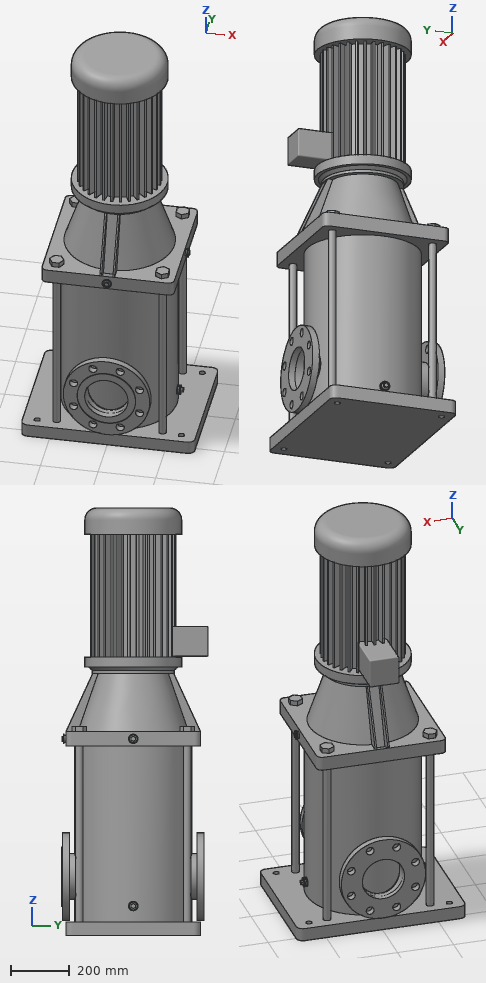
import cadquery as cq
import math


BASE_LENGTH = 600.0
PLATE_DEPTH = 459.0
BASE_THICKNESS = 47.0
BASE_CORNER = 23.0
BASE_HOLE_DIA = 20.0
BASE_HOLE_SPACING_X = 500.0
BASE_HOLE_SPACING_Y = 382.0

BARREL_DIA = 400.0
HEAD_BOTTOM = 645.0
HEAD_THICKNESS = 50.0
HEAD_TOP = HEAD_BOTTOM + HEAD_THICKNESS
HEAD_CORNER = 20.0
ROD_DIA = 26.0
ROD_SPACING = 367.0
BOLT_ACROSS_CORNERS = 50.0
BOLT_HEIGHT = 17.0
BOLT_TURN = 30

PORT_HEIGHT = 201.0
FLANGE_DIA = 300.0
FLANGE_FACE = 242.0
FLANGE_THICKNESS = 25.0
RAISED_FACE_DIA = 203.0
RAISED_FACE_HEIGHT = 3.0
NECK_DIA = 157.0
BORE_DIA = 150.0
FLANGE_HOLE_DIA = 28.0
FLANGE_HOLE_CIRCLE = 248.0
FLANGE_HOLE_COUNT = 8

CONE_BOTTOM_DIA = 380.0
CONE_TOP_DIA = 245.0
CONE_TOP = 893.0
RIB_OUTER_WIDTH = 51.0
RIB_THICKNESS = 6.0
RIB_TOP_REACH = 138.0
RECESS_DEPTH = 13.0

COLLAR_DIA = 280.0
DISC_DIA = 331.0
DISC_BOTTOM = 915.0
COLLAR_CHAMFER = 12.0
FIN_BOTTOM = 949.0
FIN_TOP = 1367.0
FIN_TIP_DIA = 290.0
FIN_ROOT_DIA = 233.0
FIN_THICKNESS = 7.0
FIN_COUNT = 30
TOTAL_HEIGHT = 1457.0
CAP_ROUND = 41.0

BOX_WIDTH = 103.0
BOX_BOTTOM = 951.0
BOX_HEIGHT = 102.0
BOX_REACH = 255.0
BOX_ROUND = 5.0

PLUG_COLLAR_DIA = 32.0
PLUG_STEM_DIA = 26.0
PLUG_COLLAR_THICKNESS = 3.0
PLUG_HEX_ACROSS_CORNERS = 17.0
VENT_PLUG_STEM = 6.0
VENT_PLUG_HEX = 5.0
NO_SEAT = 0
DRAIN_HEIGHT = 100.0
DRAIN_SEAT_HEIGHT = 3.0
DRAIN_PLUG_STEM = 6.0
DRAIN_PLUG_HEX = 9.0

OVERLAP = 7.0


def disc(diameter, bottom, top):
    return cq.Workplane("XY").workplane(offset=bottom).circle(diameter / 2).extrude(top - bottom)


def cone(bottom_diameter, bottom, top_diameter, top):
    outline = [(0, bottom), (bottom_diameter / 2, bottom), (top_diameter / 2, top), (0, top)]
    return cq.Workplane("XZ").polyline(outline).close().revolve(360, (0, 0), (0, 1))


def rounded_plate(length, bottom, thickness, corner):
    plate = cq.Workplane("XY").workplane(offset=bottom).rect(length, PLATE_DEPTH).extrude(thickness)
    return plate.edges("|Z").fillet(corner)


def base_plate():
    plate = rounded_plate(BASE_LENGTH, 0, BASE_THICKNESS, BASE_CORNER)
    return (
        plate.faces(">Z")
        .workplane()
        .rect(BASE_HOLE_SPACING_X, BASE_HOLE_SPACING_Y, forConstruction=True)
        .vertices()
        .hole(BASE_HOLE_DIA)
    )


def head_plate_with_rods():
    head = rounded_plate(PLATE_DEPTH, HEAD_BOTTOM, HEAD_THICKNESS, HEAD_CORNER)
    half = ROD_SPACING / 2
    for x in (-half, half):
        turn = BOLT_TURN if x > 0 else 0
        bolt = cq.Workplane("XY").polygon(6, BOLT_ACROSS_CORNERS).extrude(BOLT_HEIGHT)
        bolt = bolt.rotate((0, 0, 0), (0, 0, 1), turn)
        for y in (-half, half):
            head = head.union(disc(ROD_DIA, BASE_THICKNESS, HEAD_BOTTOM).translate((x, y, 0)))
            head = head.union(bolt.translate((x, y, HEAD_TOP)))
    return head.cut(rib_recesses())


def rib_recesses():
    """Wedges between the ribs that slope from the plate edges down toward the cone."""
    edge = PLATE_DEPTH / 2
    foot = CONE_BOTTOM_DIA / 2
    floor = HEAD_TOP - RECESS_DEPTH
    outline = [(-edge, HEAD_TOP), (-foot, floor), (foot, floor), (edge, HEAD_TOP)]
    half_gap = RIB_OUTER_WIDTH / 2 - RIB_THICKNESS
    return cq.Workplane("YZ").polyline(outline).close().extrude(half_gap, both=True)


def port_cylinder(diameter, start, end):
    """Cylinder on the port axis between two Y positions."""
    plane = cq.Workplane("XZ", origin=(0, start, PORT_HEIGHT))
    return plane.circle(diameter / 2).extrude(start - end)


def ports(barrel):
    """Both flanges on their necks; the bores end at the barrel wall."""
    body = port_cylinder(NECK_DIA, -FLANGE_FACE, FLANGE_FACE)
    for side in (-1, 1):
        back = side * (FLANGE_FACE - FLANGE_THICKNESS)
        body = body.union(port_cylinder(FLANGE_DIA, back, side * FLANGE_FACE))
    raised_end = -FLANGE_FACE - RAISED_FACE_HEIGHT
    body = body.union(port_cylinder(RAISED_FACE_DIA, -FLANGE_FACE, raised_end))
    body = body.cut(port_cylinder(BORE_DIA, raised_end, FLANGE_FACE))
    bolt_hole = port_cylinder(FLANGE_HOLE_DIA, -FLANGE_FACE, FLANGE_FACE)
    for i in range(FLANGE_HOLE_COUNT):
        angle = 2 * math.pi * (i + 0.5) / FLANGE_HOLE_COUNT
        dx = FLANGE_HOLE_CIRCLE / 2 * math.cos(angle)
        dz = FLANGE_HOLE_CIRCLE / 2 * math.sin(angle)
        body = body.cut(bolt_hole.translate((dx, 0, dz)))
    return body.union(barrel)


def lantern():
    """Cone between head plate and motor, with a pair of thin ribs at -Y and +Y."""
    growth = (CONE_BOTTOM_DIA - CONE_TOP_DIA) / (CONE_TOP - HEAD_TOP)
    root_dia = CONE_BOTTOM_DIA + growth * RECESS_DEPTH
    body = cone(root_dia, HEAD_TOP - RECESS_DEPTH, CONE_TOP_DIA, CONE_TOP)
    half_plate = PLATE_DEPTH / 2
    outline = [
        (-half_plate, HEAD_TOP),
        (half_plate, HEAD_TOP),
        (RIB_TOP_REACH, CONE_TOP),
        (-RIB_TOP_REACH, CONE_TOP),
    ]
    rib = cq.Workplane("YZ").polyline(outline).close().extrude(RIB_THICKNESS)
    for x in (-RIB_OUTER_WIDTH / 2, RIB_OUTER_WIDTH / 2 - RIB_THICKNESS):
        body = body.union(rib.translate((x, 0, 0)))
    return body


def motor():
    """Chamfered collar, disc, finned body and rounded fan cap, stacked upward."""
    collar = disc(COLLAR_DIA, CONE_TOP, DISC_BOTTOM)
    body = collar.union(disc(DISC_DIA, DISC_BOTTOM, FIN_BOTTOM))
    junction = cq.selectors.NearestToPointSelector((0, 0, DISC_BOTTOM))
    body = body.edges(junction).chamfer(COLLAR_CHAMFER)
    body = body.union(disc(FIN_ROOT_DIA, FIN_BOTTOM, FIN_TOP))
    cap = disc(DISC_DIA, FIN_TOP, TOTAL_HEIGHT).faces(">Z").edges().fillet(CAP_ROUND)
    body = body.union(cap)
    fin_length = FIN_TIP_DIA / 2 - FIN_ROOT_DIA / 2 + OVERLAP
    fin_centre = FIN_TIP_DIA / 2 - fin_length / 2
    fins = (
        cq.Workplane("XY")
        .workplane(offset=FIN_BOTTOM)
        .polarArray(fin_centre, 90, 360, FIN_COUNT)
        .rect(fin_length, FIN_THICKNESS)
        .extrude(FIN_TOP - FIN_BOTTOM)
    )
    return body.union(fins)


def terminal_box():
    inner = FIN_ROOT_DIA / 2 - 2 * OVERLAP
    box = cq.Workplane("XY").box(BOX_WIDTH, BOX_REACH - inner, BOX_HEIGHT, centered=(True, False, False))
    box = box.faces(">Y or <X or >X").edges("not <Y").fillet(BOX_ROUND)
    return box.translate((0, inner, BOX_BOTTOM))


def plug(surface, height, stem, hex_length, seat, heading):
    """Screw plug pointing outward from a surface at a given distance from the axis.

    The heading is the direction in degrees, counted from +X toward +Y.
    """
    collar_start = surface + seat + stem
    hex_start = collar_start + PLUG_COLLAR_THICKNESS
    body = disc(PLUG_STEM_DIA, surface - OVERLAP, collar_start)
    body = body.union(disc(PLUG_COLLAR_DIA, collar_start, hex_start))
    tip = cq.Workplane("XY").workplane(offset=hex_start)
    body = body.union(tip.polygon(6, PLUG_HEX_ACROSS_CORNERS).extrude(hex_length))
    if seat > 0:
        body = body.union(disc(PLUG_COLLAR_DIA, surface - OVERLAP, surface + seat))
    body = body.rotate((0, 0, 0), (0, 1, 0), 90).rotate((0, 0, 0), (0, 0, 1), heading)
    return body.translate((0, 0, height))


def plugs():
    """Vent plugs on two edges of the head plate, drain plugs on both sides of the barrel."""
    vent_height = HEAD_BOTTOM + HEAD_THICKNESS / 2
    plate_edge = PLATE_DEPTH / 2
    wall = BARREL_DIA / 2
    parts = []
    for heading in (0, -90):
        parts.append(plug(plate_edge, vent_height, VENT_PLUG_STEM, VENT_PLUG_HEX, NO_SEAT, heading))
    for heading in (0, 180):
        parts.append(plug(wall, DRAIN_HEIGHT, DRAIN_PLUG_STEM, DRAIN_PLUG_HEX, DRAIN_SEAT_HEIGHT, heading))
    return parts


barrel = disc(BARREL_DIA, BASE_THICKNESS, HEAD_BOTTOM)
result = base_plate().union(ports(barrel)).union(head_plate_with_rods())
result = result.union(lantern()).union(motor()).union(terminal_box())
for part in plugs():
    result = result.union(part)